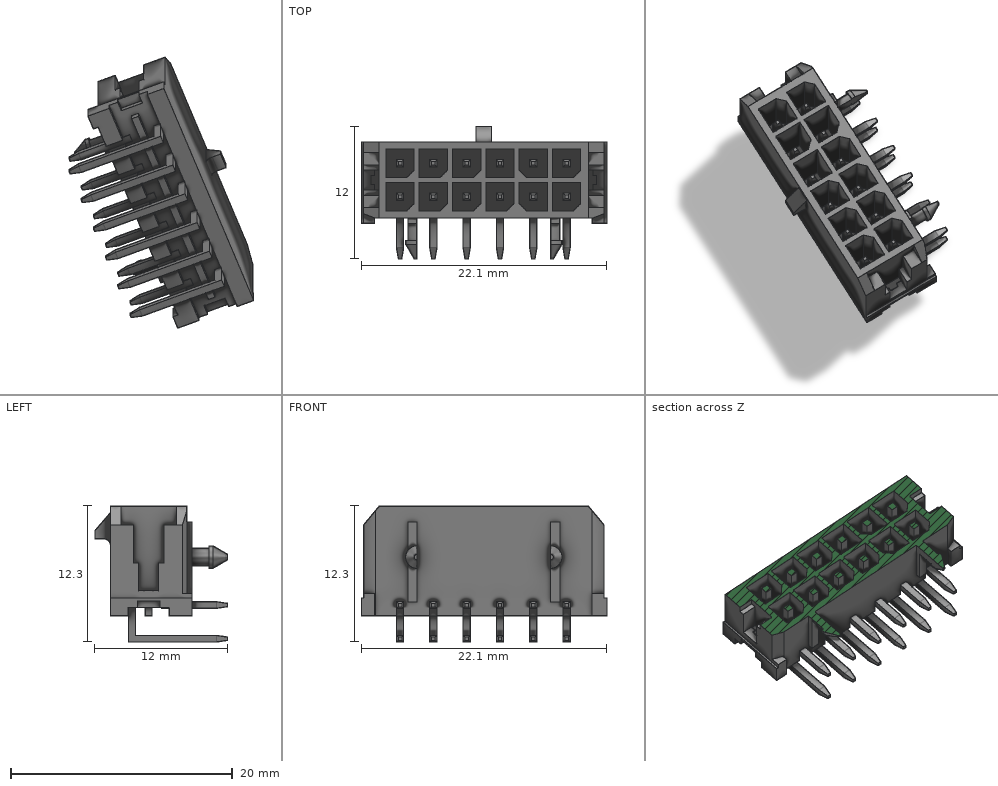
import cadquery as cq


half_length = 10.83
depth = 6.89
height = 9.88
mid_y = depth / 2
core_half_length = 9.44
shoulder_z = 8.2
slope_strip_width = 0.95
corner_chamfer_x = 9.77
corner_chamfer_depth = 0.4

end_slot_half_width = 1.37
end_slot_narrow_half_width = 0.9
end_slot_step_z = 4.75
end_slot_floor_z = 2.28
floor_recess_depth = 0.1
floor_recess_wide_x = 9.83
floor_recess_deep_x = 10.15
floor_recess_half_width = 0.4

foot_projection = 0.47
foot_height = 2.02
left_foot_inner_x = -9.83
right_foot_inner_x = 9.77
left_end_x = -11.03
right_end_x = 11.12
ledge_height = 1.62

channel_front_y = 1.6
channel_back_y = 5.3
channel_height = 0.73
under_rib_width = 0.65
side_pocket_half_width = 1.02
side_pocket_top_z = 1.35
side_pocket_depth = 0.89

pin_columns = 6
pin_pitch = 3.001
row_center_x = -0.05
pin_width = 0.66
pin_thickness = 0.62
pin_tip_width = 0.3
pin_tip_length = 1.02
pin_front_y = -3.68
pin_top_z = 7.09
front_pin_z = 0.66
back_pin_z = -2.37
cell_size = 2.55
cell_chamfer = 0.66
cell_floor_z = 2.28

rib_inner_x = 6.02
rib_width = 0.82
rib_bottom_z = 1.26
rib_top_z = 8.46
peg_z = 5.3
peg_head_radius = 1.02
peg_cone_end_radius = 0.33
peg_tip_radius = 0.25
peg_head_y = -2.0
peg_cone_y = -2.35
peg_cone_end_y = -3.52

latch_width = 1.42
latch_reach = 1.4
latch_top_z = 9.3
latch_nose_top_z = 7.69
latch_nose_bottom_z = 6.93
latch_fillet = 0.6

column_x = [row_center_x + (i - (pin_columns - 1) / 2) * pin_pitch for i in range(pin_columns)]
front_row_y = mid_y - pin_pitch / 2
back_row_y = mid_y + pin_pitch / 2

cell_corners = {front_row_y: "RRRRLR", back_row_y: "RRR-LR"}


def block(x0, x1, y0, y1, z0, z1):
    """Axis-aligned box between two opposite corners."""
    return cq.Workplane("XY").box(x1 - x0, y1 - y0, z1 - z0, centered=False).translate((x0, y0, z0))


def mirrored(shape):
    """The shape together with its mirror image across X = 0."""
    return shape.union(shape.mirror("YZ"))


def housing_shell():
    """Block with sloping end corners and chamfered front corners."""
    outline = [
        (-half_length, 0),
        (half_length, 0),
        (half_length, shoulder_z),
        (core_half_length, height),
        (-core_half_length, height),
        (-half_length, shoulder_z),
    ]
    shell = cq.Workplane("XZ").polyline(outline).close().extrude(-depth)
    corner = (
        cq.Workplane("XY")
        .polyline([(corner_chamfer_x, 0), (half_length, 0), (half_length, corner_chamfer_depth)])
        .close()
        .extrude(height)
    )
    return shell.cut(mirrored(corner))


def feet():
    """Front feet, and the narrow ledges that run along both ends."""
    left = block(-half_length, left_foot_inner_x, -foot_projection, mid_y, 0, foot_height)
    right = block(right_foot_inner_x, half_length, -foot_projection, mid_y, 0, foot_height)
    left_ledge = block(left_end_x, left_foot_inner_x, -foot_projection, depth, 0, ledge_height)
    right_ledge = block(right_foot_inner_x, right_end_x, -foot_projection, depth, 0, ledge_height)
    return left.union(right).union(left_ledge).union(right_ledge)


def end_recesses():
    """Stepped slots in both ends, widest at the top, with a shallow recess in the floor."""
    def slot(half_width, bottom, top, outer_x=half_length):
        return block(core_half_length, outer_x, mid_y - half_width, mid_y + half_width, bottom, top)

    recess_z = end_slot_floor_z - floor_recess_depth
    recess = (
        slot(mid_y - slope_strip_width, shoulder_z, height)
        .union(slot(end_slot_half_width, end_slot_step_z, height))
        .union(slot(end_slot_narrow_half_width, end_slot_floor_z, height))
        .union(slot(end_slot_narrow_half_width, recess_z, height, floor_recess_wide_x))
        .union(slot(floor_recess_half_width, recess_z, height, floor_recess_deep_x))
    )
    return mirrored(recess)


def underside_channel():
    """Channel open at both ends, with a rib left along its middle and a pocket at each end."""
    channel = block(left_end_x, right_end_x, channel_front_y, channel_back_y, 0, channel_height)
    rib_y = mid_y - under_rib_width / 2
    rib = block(-core_half_length, core_half_length, rib_y, rib_y + under_rib_width, 0, channel_height)
    front = mid_y - side_pocket_half_width
    back = mid_y + side_pocket_half_width
    left = block(left_end_x, left_end_x + side_pocket_depth, front, back, 0, side_pocket_top_z)
    right = block(right_end_x - side_pocket_depth, right_end_x, front, back, 0, side_pocket_top_z)
    return channel.cut(rib).union(left).union(right)


def cell(x, y, corner):
    """Square contact cavity, with one front corner cut off when corner is L or R."""
    cell_depth = height - cell_floor_z
    cavity = cq.Workplane("XY").box(cell_size, cell_size, cell_depth, centered=(True, True, False))
    if corner == "R":
        cavity = cavity.edges("|Z and >X and <Y").chamfer(cell_chamfer)
    elif corner == "L":
        cavity = cavity.edges("|Z and <X and <Y").chamfer(cell_chamfer)
    return cavity.translate((x, y, cell_floor_z))


def pin_bar(thickness, length):
    """Straight pin along +Z from the origin, tapered at its far end."""
    shank = length - pin_tip_length
    tip = (
        cq.Workplane("XY", origin=(0, 0, shank))
        .rect(pin_width, thickness)
        .workplane(offset=pin_tip_length)
        .rect(pin_tip_width, pin_tip_width)
        .loft()
    )
    return cq.Workplane("XY").box(pin_width, thickness, shank, centered=(True, True, False)).union(tip)


def pin(x, y, tail_z):
    """L-shaped pin: upright contact at (x, y) and a tail toward the front."""
    upright = pin_bar(pin_width, pin_top_z - tail_z).translate((x, y, tail_z))
    tail_back_y = y + pin_width / 2
    tail = pin_bar(pin_thickness, tail_back_y - pin_front_y).rotate((0, 0, 0), (1, 0, 0), 90)
    return upright.union(tail.translate((x, tail_back_y, tail_z + pin_thickness / 2)))


def pin_slot(x):
    """Slot through the front wall below a front row tail."""
    return block(x - pin_width / 2, x + pin_width / 2, 0, channel_front_y, 0, front_pin_z)


def rib_and_peg():
    """Upright rib on the front wall carrying a half-round board peg, on the +X side."""
    rib = block(rib_inner_x, rib_inner_x + rib_width, -foot_projection, 0, rib_bottom_z, rib_top_z)
    profile = [
        (0, 0),
        (rib_width, 0),
        (rib_width, peg_head_y),
        (peg_head_radius, peg_head_y),
        (peg_head_radius, peg_cone_y),
        (peg_cone_end_radius, peg_cone_end_y),
        (peg_tip_radius, pin_front_y),
        (0, pin_front_y),
    ]
    peg = cq.Workplane("XY").polyline(profile).close().revolve(360, (0, 0, 0), (0, 1, 0))
    peg = peg.intersect(block(0, peg_head_radius, pin_front_y, 0, -peg_head_radius, peg_head_radius))
    return rib.union(peg.translate((rib_inner_x, 0, peg_z)))


def latch():
    """Hook on the back wall, with a rounded inner corner under its nose."""
    nose_y = depth + latch_reach
    fillet_center_z = latch_nose_bottom_z - latch_fillet
    fillet_mid = latch_fillet * (1 - 0.5**0.5)
    return (
        cq.Workplane("YZ")
        .moveTo(depth, latch_top_z)
        .lineTo(nose_y, latch_nose_top_z)
        .lineTo(nose_y, latch_nose_bottom_z)
        .lineTo(depth + latch_fillet, latch_nose_bottom_z)
        .threePointArc((depth + fillet_mid, latch_nose_bottom_z - fillet_mid), (depth, fillet_center_z))
        .close()
        .extrude(latch_width / 2, both=True)
    )


result = housing_shell().union(feet()).cut(end_recesses()).cut(underside_channel())

for row_y, corners in cell_corners.items():
    for x, corner in zip(column_x, corners):
        result = result.cut(cell(x, row_y, corner))

for x in column_x:
    result = result.cut(pin_slot(x))
    result = result.union(pin(x, front_row_y, front_pin_z))
    result = result.union(pin(x, back_row_y, back_pin_z))

result = result.union(mirrored(rib_and_peg())).union(latch())